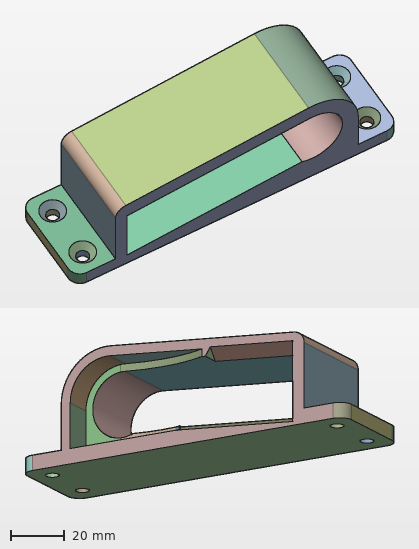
import cadquery as cq
import math

width = 40.0
length = 140.0
plate_thickness = 6.0
corner_radius = 5.0

hole_spacing_x = 22.1
hole_spacing_y = 122.9
hole_diameter = 5.2
sink_diameter = 10.4
sink_angle = 90

height = 43.5
body_length = 105.0
round_radius = 19.7
roof_angle = math.radians(5.1)
end_wall = 5.0
front_edge_radius = 4.9

slot_radius = 12.9
slot_floor_offset = 11.6

flare_depth = 7.5
flare_rise = 3.5
flare_top_y = -11.9
flare_bottom_y = 7.0

recess_wall = 3.9
recess_flat_end_y = 33.6
recess_depth = 11.6
recess_run = 42.0
lower_run = 26.6
lower_turn_radius = 6.6

back_y = body_length / 2
front_y = -body_length / 2
slot_end_y = front_y + end_wall
axis_y = back_y - round_radius
axis_z = height - round_radius
side_x = -width / 2


def roof_z(y, radius):
    """Height at y of the sloped line tangent to a circle about the round axis."""
    return axis_z + radius / math.cos(roof_angle) + (y - axis_y) * math.tan(roof_angle)


def slot_floor_z(y):
    return axis_z - slot_floor_offset + (y - axis_y) * math.tan(roof_angle)


def arch(radius, end_y, start_x, depth):
    """Solid with a round +Y end, a sloped roof and a flat base on the plate top."""
    tangent_y = axis_y - radius * math.sin(roof_angle)
    tangent_z = axis_z + radius * math.cos(roof_angle)
    diagonal = radius * math.sqrt(0.5)
    return (
        cq.Workplane("YZ", origin=(start_x, 0, 0))
        .moveTo(end_y, plate_thickness)
        .lineTo(axis_y + radius, plate_thickness)
        .lineTo(axis_y + radius, axis_z)
        .threePointArc((axis_y + diagonal, axis_z + diagonal), (tangent_y, tangent_z))
        .lineTo(end_y, roof_z(end_y, radius))
        .close()
        .extrude(depth)
    )


def mounting_plate():
    return (
        cq.Workplane("XY")
        .box(width, length, plate_thickness, centered=(True, True, False))
        .edges("|Z").fillet(corner_radius)
        .faces(">Z").workplane()
        .rarray(hole_spacing_x, hole_spacing_y, 2, 2)
        .cskHole(hole_diameter, sink_diameter, sink_angle)
    )


def slot():
    round_end = (
        cq.Workplane("YZ", origin=(side_x, 0, 0))
        .center(axis_y, axis_z)
        .circle(slot_radius)
        .extrude(width)
    )
    tangent_y = axis_y - slot_radius * math.sin(roof_angle)
    channel = (
        cq.Workplane("YZ", origin=(side_x, 0, 0))
        .polyline([
            (slot_end_y, slot_floor_z(slot_end_y)),
            (tangent_y, slot_floor_z(tangent_y)),
            (tangent_y, roof_z(tangent_y, slot_radius)),
            (slot_end_y, roof_z(slot_end_y, slot_radius)),
        ])
        .close()
        .extrude(width)
    )
    return round_end.union(channel)


def slot_flare():
    """Wedges the slot mouth open at the -X face; its +Y end is a slanted plane."""
    near_top = roof_z(flare_top_y, slot_radius) + flare_rise
    near_bottom = slot_floor_z(flare_bottom_y) - flare_rise
    end_slant = (flare_bottom_y - flare_top_y) / (near_top - near_bottom)

    def mouth(rise):
        shift = (flare_rise - rise) * end_slant
        top_y = flare_top_y + shift
        bottom_y = flare_bottom_y - shift
        return [
            (slot_end_y, slot_floor_z(slot_end_y) - rise),
            (bottom_y, slot_floor_z(bottom_y) - rise),
            (top_y, roof_z(top_y, slot_radius) + rise),
            (slot_end_y, roof_z(slot_end_y, slot_radius) + rise),
        ]

    return (
        cq.Workplane("YZ", origin=(side_x, 0, 0))
        .polyline(mouth(flare_rise)).close()
        .workplane(offset=flare_depth)
        .polyline(mouth(0)).close()
        .loft(ruled=True)
    )


def recess():
    """Arched recess whose back curves out to the -X face, sooner in its lower half."""
    back_x = side_x + recess_depth
    back_radius = (recess_run**2 + recess_depth**2) / (2 * recess_depth)

    def curved_back(run):
        sag = back_radius - math.sqrt(back_radius**2 - run**2)
        return (back_x - sag, recess_flat_end_y - run)

    def plan(arc_run):
        return (
            cq.Workplane("XY")
            .moveTo(side_x, back_y)
            .lineTo(back_x, back_y)
            .lineTo(back_x, recess_flat_end_y)
            .threePointArc(curved_back(arc_run / 2), curved_back(arc_run))
        )

    turn_start_x, turn_start_y = curved_back(lower_run)
    heading = math.asin(lower_run / back_radius)
    turn_center_x = turn_start_x - lower_turn_radius * math.cos(heading)
    turn_center_y = turn_start_y + lower_turn_radius * math.sin(heading)
    end_angle = math.acos((side_x - turn_center_x) / lower_turn_radius)
    middle_angle = (heading + end_angle) / 2

    def turn_point(angle):
        return (
            turn_center_x + lower_turn_radius * math.cos(angle),
            turn_center_y - lower_turn_radius * math.sin(angle),
        )

    lower = (
        plan(lower_run)
        .threePointArc(turn_point(middle_angle), turn_point(end_angle))
        .close()
        .extrude(axis_z)
    )
    upper = plan(recess_run).close().extrude(height).translate((0, 0, axis_z))
    inner_arch = arch(round_radius - recess_wall, slot_end_y, side_x, recess_depth)
    return inner_arch.intersect(lower.union(upper))


body = arch(round_radius, front_y, side_x, width)
front_edge = cq.selectors.NearestToPointSelector((0, front_y, roof_z(front_y, round_radius)))
body = body.edges(front_edge).fillet(front_edge_radius)

result = mounting_plate().union(body).cut(slot()).cut(slot_flare()).cut(recess())